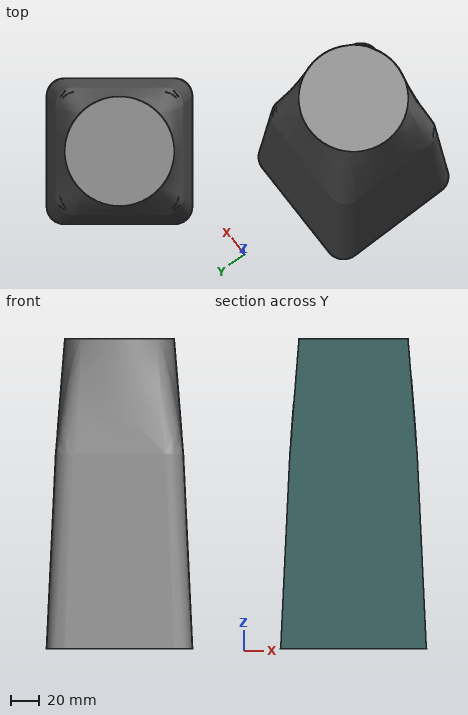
import cadquery as cq
import math

height = 215.9
base_width = 101.7
shoulder_width = 89.0
shoulder_height = 135.5
top_diameter = 76.2
corner_radius = 12.7


def square_wire(width, z):
    half = width / 2
    signs = ((1, 1), (-1, 1), (-1, -1), (1, -1))
    corners = [cq.Vector(sx * half, sy * half, z) for sx, sy in signs]
    return cq.Wire.makePolygon(corners, close=True)


def circle_point(angle):
    radius = top_diameter / 2
    return cq.Vector(radius * math.cos(angle), radius * math.sin(angle), height)


def quarter_arc(start_angle):
    """Quarter of the top circle, belonging to one side of the square."""
    angles = [start_angle + step * math.pi / 4 for step in range(3)]
    return cq.Edge.makeThreePointArc(*[circle_point(angle) for angle in angles])


def tapered_base():
    """Square frustum from the base up to the shoulder."""
    wires = [square_wire(base_width, 0), square_wire(shoulder_width, shoulder_height)]
    return cq.Solid.makeLoft(wires, True)


def square_to_round():
    """Ruled sides joining each straight shoulder edge to a quarter of the top circle."""
    arcs = [quarter_arc(math.pi / 4 + side * math.pi / 2) for side in range(4)]
    top_wire = cq.Wire.assembleEdges(arcs)
    return cq.Solid.makeLoft([square_wire(shoulder_width, shoulder_height), top_wire], True)


def is_corner_edge(edge):
    """Corner edges are the only ones that climb; all the others are level."""
    return edge.BoundingBox().zlen > height / 10


body = cq.Workplane(tapered_base().fuse(square_to_round()))
result = body.edges().filter(is_corner_edge).fillet(corner_radius)